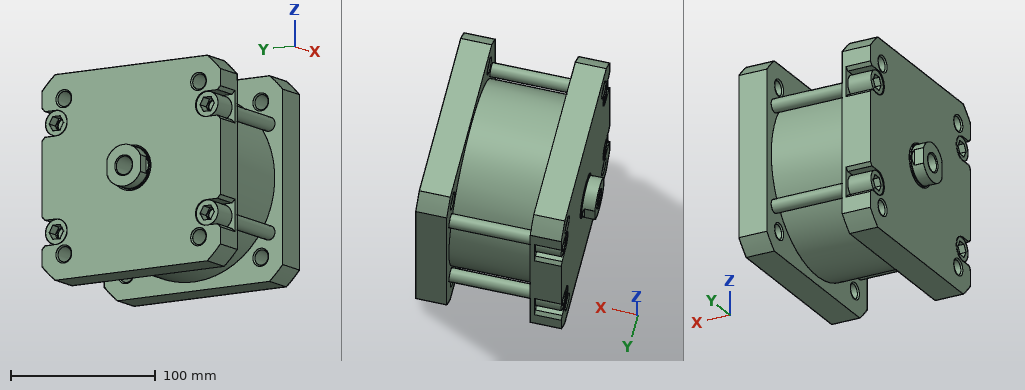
import cadquery as cq
import math


PLATE_SIDE = 145.0
PLATE_CORNER_DIAMETER = 190.5
PLATE_THICKNESS = 22.0

BARREL_LENGTH = 59.2
BARREL_DIAMETER = 132.2

BARREL_START = PLATE_THICKNESS
BARREL_END = BARREL_START + BARREL_LENGTH

MOUNT_HOLE_SPACING = 109.5
MOUNT_HOLE_DIAMETER = 10.7
MOUNT_HOLE_CHAMFER = 1.0

ROD_DIAMETER = 30.0
ROD_END_DIAMETER = 29.5
ROD_PROTRUSION = 9.7
ROD_ACROSS_FLATS = 27.0
ROD_FLAT_LENGTH = 7.2
ROD_SHOULDER_GAP = 0.5
ROD_BORE_DIAMETER = 13.0
ROD_BORE_DEPTH = 21.8
ROD_BORE_CHAMFER = 0.7
ROD_BORE_TIP_ANGLE = 120.0
ROD_HOLE_CHAMFER = 1.0

BOLT_SPACING_Y = 122.5
BOLT_SPACING_Z = 76.5
BOLT_DIAMETER = 10.0
BOLT_HEAD_DIAMETER = 17.7
BOLT_HEAD_RECESS = 0.7
SOCKET_ACROSS_FLATS = 10.0
SOCKET_DEPTH = 8.0
SOCKET_TURN = 30.0
SOCKET_PILOT_DIAMETER = 8.7
SOCKET_PILOT_DEPTH = 1.5

POCKET_WIDTH = 18.0
POCKET_DEPTH = 19.0
POCKET_MOUTH_CHAMFER = 2.5

BOLT_SHANK_LENGTH = BARREL_END + PLATE_THICKNESS - POCKET_DEPTH


def cylinder(diameter, x_start, length, y=0, z=0):
    """Cylinder parallel to X."""
    return (
        cq.Workplane("YZ", origin=(x_start, y, z))
        .circle(diameter / 2)
        .extrude(length)
    )


def cone(start_diameter, end_diameter, x_start, length, y=0, z=0):
    """Cone or truncated cone parallel to X."""
    solid = cq.Solid.makeCone(
        start_diameter / 2, end_diameter / 2, length,
        pnt=cq.Vector(x_start, y, z), dir=cq.Vector(1, 0, 0),
    )
    return cq.Workplane(solid)


def grid_points(spacing_y, spacing_z):
    """Four points placed symmetrically about the axis, as (y, z)."""
    return [
        (side_y * spacing_y / 2, side_z * spacing_z / 2)
        for side_y in (-1, 1)
        for side_z in (-1, 1)
    ]


BOLT_POINTS = grid_points(BOLT_SPACING_Y, BOLT_SPACING_Z)
MOUNT_POINTS = grid_points(MOUNT_HOLE_SPACING, MOUNT_HOLE_SPACING)


def make_plate(x_start):
    """Square plate with trimmed corners, mounting holes and bolt shank holes."""
    plate = (
        cq.Workplane("YZ", origin=(x_start, 0, 0))
        .rect(PLATE_SIDE, PLATE_SIDE)
        .extrude(PLATE_THICKNESS)
        .intersect(cylinder(PLATE_CORNER_DIAMETER, x_start, PLATE_THICKNESS))
    )
    mouth_diameter = MOUNT_HOLE_DIAMETER + 2 * MOUNT_HOLE_CHAMFER
    for y, z in MOUNT_POINTS:
        plate = plate.cut(cylinder(MOUNT_HOLE_DIAMETER, x_start, PLATE_THICKNESS, y, z))
        plate = plate.cut(
            cone(mouth_diameter, MOUNT_HOLE_DIAMETER, x_start, MOUNT_HOLE_CHAMFER, y, z)
        )
    for y, z in BOLT_POINTS:
        plate = plate.cut(cylinder(BOLT_DIAMETER, x_start, PLATE_THICKNESS, y, z))
    return plate


def make_head_pocket(y, z):
    """Round-ended slot from a bolt out to the near side, with a bevelled mouth."""
    side = math.copysign(1, y)
    plate_edge = side * PLATE_SIDE / 2
    mouth_start = plate_edge - side * POCKET_MOUTH_CHAMFER
    half_width = POCKET_WIDTH / 2
    half_mouth = half_width + POCKET_MOUTH_CHAMFER
    return (
        cq.Workplane("YZ")
        .moveTo(y, z + half_width)
        .lineTo(mouth_start, z + half_width)
        .lineTo(plate_edge, z + half_mouth)
        .lineTo(plate_edge, z - half_mouth)
        .lineTo(mouth_start, z - half_width)
        .lineTo(y, z - half_width)
        .threePointArc((y - side * half_width, z), (y, z + half_width))
        .close()
        .extrude(POCKET_DEPTH)
    )


def make_front_plate():
    """Plate with bolt head pockets and a bevelled hole for the rod."""
    plate = make_plate(0)
    for y, z in BOLT_POINTS:
        plate = plate.cut(make_head_pocket(y, z))
    mouth_diameter = ROD_DIAMETER + 2 * ROD_HOLE_CHAMFER
    plate = plate.cut(cylinder(ROD_DIAMETER, 0, PLATE_THICKNESS))
    return plate.cut(cone(mouth_diameter, ROD_DIAMETER, 0, ROD_HOLE_CHAMFER))


def make_rear_plate():
    return make_plate(BARREL_END)


def make_barrel():
    return cylinder(BARREL_DIAMETER, BARREL_START, BARREL_LENGTH)


def make_rod():
    """Rod with a turned end, two wrench flats and a blind bore with a conical bottom."""
    rod_end = -ROD_PROTRUSION
    shoulder_end = -ROD_SHOULDER_GAP
    shoulder_length = (ROD_DIAMETER - ROD_END_DIAMETER) / 2
    shoulder_start = shoulder_end - shoulder_length

    turned_end = cylinder(ROD_END_DIAMETER, rod_end, shoulder_start - rod_end)
    shoulder = cone(ROD_END_DIAMETER, ROD_DIAMETER, shoulder_start, shoulder_length)
    shank = cylinder(ROD_DIAMETER, shoulder_end, PLATE_THICKNESS - shoulder_end)
    rod = turned_end.union(shoulder).union(shank)

    flat_end = rod_end + ROD_FLAT_LENGTH
    flat_y = ROD_ACROSS_FLATS / 2
    outer_y = ROD_DIAMETER / 2
    run_out_end = flat_end + outer_y - flat_y
    flat_cut = (
        cq.Workplane("XY")
        .moveTo(rod_end, flat_y)
        .lineTo(flat_end, flat_y)
        .lineTo(run_out_end, outer_y)
        .lineTo(rod_end, outer_y)
        .close()
        .extrude(ROD_DIAMETER / 2, both=True)
    )
    rod = rod.cut(flat_cut).cut(flat_cut.mirror("XZ"))

    tip_length = ROD_BORE_DIAMETER / 2 / math.tan(math.radians(ROD_BORE_TIP_ANGLE / 2))
    mouth_diameter = ROD_BORE_DIAMETER + 2 * ROD_BORE_CHAMFER
    rod = rod.cut(cylinder(ROD_BORE_DIAMETER, rod_end, ROD_BORE_DEPTH))
    rod = rod.cut(cone(ROD_BORE_DIAMETER, 0, rod_end + ROD_BORE_DEPTH, tip_length))
    return rod.cut(cone(mouth_diameter, ROD_BORE_DIAMETER, rod_end, ROD_BORE_CHAMFER))


def make_tie_bolt(y, z):
    """Socket head bolt; the hexagon has corners pointing along Y."""
    head_length = POCKET_DEPTH - BOLT_HEAD_RECESS
    head = cylinder(BOLT_HEAD_DIAMETER, BOLT_HEAD_RECESS, head_length, y, z)
    shank = cylinder(BOLT_DIAMETER, POCKET_DEPTH, BOLT_SHANK_LENGTH, y, z)
    socket = (
        cq.Workplane("YZ", origin=(BOLT_HEAD_RECESS, y, z))
        .polygon(6, SOCKET_ACROSS_FLATS, circumscribed=True)
        .extrude(SOCKET_DEPTH)
        .rotate((0, y, z), (1, y, z), SOCKET_TURN)
    )
    pilot_start = BOLT_HEAD_RECESS + SOCKET_DEPTH
    pilot = cylinder(SOCKET_PILOT_DIAMETER, pilot_start, SOCKET_PILOT_DEPTH, y, z)
    return head.union(shank).cut(socket).cut(pilot)


front_plate = make_front_plate()
rear_plate = make_rear_plate()
barrel = make_barrel()
rod = make_rod()
tie_bolts = [make_tie_bolt(y, z) for y, z in BOLT_POINTS]

result = cq.Compound.makeCompound([
    front_plate.val(),
    rear_plate.val(),
    barrel.val(),
    rod.val(),
    *[bolt.val() for bolt in tie_bolts],
])